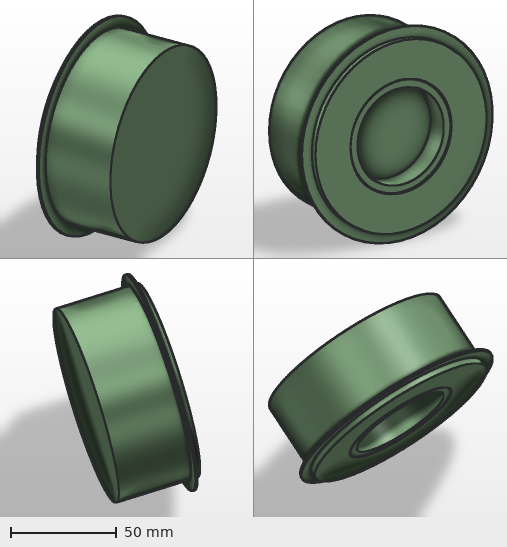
import cadquery as cq

total_length = 40.5
body_diameter = 96.0

flange_diameter = 107.0
flange_start = 3.2
flange_thickness = 1.1

groove_diameter = 94.5
groove_width = 0.3

recess_diameter = 56.7
recess_depth = 0.3
gap_inner_diameter = 56.2
gap_depth = 1.1
bore_diameter = 48.5
bore_depth = 12.0


def disc(start, length, diameter):
    """Solid cylinder along +X, starting at the given axial position."""
    return cq.Workplane("YZ", origin=(start, 0, 0)).circle(diameter / 2).extrude(length)


flange_end = flange_start + flange_thickness
body_start = flange_end + groove_width
outside = (
    disc(0, flange_start, body_diameter)
    .union(disc(flange_start, flange_thickness, flange_diameter))
    .union(disc(flange_end, groove_width, groove_diameter))
    .union(disc(body_start, total_length - body_start, body_diameter))
)

recess = disc(0, recess_depth, recess_diameter)
gap = disc(0, gap_depth, recess_diameter).cut(disc(0, gap_depth, gap_inner_diameter))
bore = disc(0, bore_depth, bore_diameter)

result = outside.cut(recess).cut(gap).cut(bore)